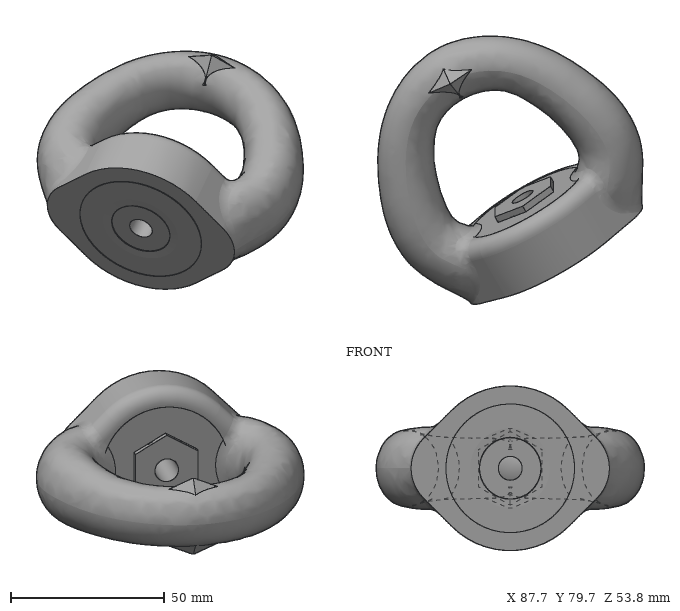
import cadquery as cq
import math


base_radius = 26.9
base_depth = 20.2
lobe_reach = 32.4
rear_fillet = 5.2

foot_fillet = 4.6
seam_margin = 0.9

crown_section = ((0, 79.4), (0, 60.9), 9.8)
side_sections = [
    ((23.5, 70.4), (12.7, 56.6), 10.1),
    ((34.0, 58.4), (17.55, 50), 10.6),
    ((40.1, 46.1), (20.9, 42.6), 11.5),
    ((43.7, 32.0), (23.35, 31.6), 12.5),
    ((42.8, 20.1), (22.2, 24.1), 12.8),
    ((39.5, 12.3), (17.9, 19.75), 13.4),
    ((32.2, 0), (10.5, 7.9), 10.3),
    ((29, -5.7), (7.9, 2.6), 6.6),
]

spike_tip_y = 70.2
spike_tip_z = 13.0
spike_foot_z = 6.1
spike_outer_reach = 6.85
spike_inner_reach = 7.55
spike_side_reach = 16.7
spike_tip_ratio = 0.03

bushing_diameter = 42.0
bushing_proud = 0.3
bore_diameter = 20.2
countersink_diameter = 26.0
countersink_depth = 0.2

shank_diameter = 20.0
shank_setback = 0.3
hex_sides = 6
hex_across_flats = 20.9
hex_height = 2.2
centre_hole_diameter = 7.8


def rod(diameter, y_start, y_end):
    """Round rod about the Y axis."""
    front = cq.Workplane("XZ", origin=(0, y_start, 0))
    return front.circle(diameter / 2).extrude(y_start - y_end)


def cone(start_diameter, end_diameter, y_start, y_end):
    """Cone about the Y axis, from its start diameter to its end diameter."""
    start = cq.Vector(0, y_start, 0)
    along_y = cq.Vector(0, 1, 0)
    solid = cq.Solid.makeCone(start_diameter / 2, end_diameter / 2, y_end - y_start, start, along_y)
    return cq.Workplane(solid)


def make_base():
    """Round base with two lobes, joined by 45 degree tangent flanks."""
    diagonal = math.sqrt(0.5)
    lobe_radius = (base_radius / diagonal - lobe_reach) / (1 / diagonal - 1)
    lobe_centre = lobe_reach - lobe_radius
    flank = base_radius * diagonal
    lobe_x = lobe_centre + lobe_radius * diagonal
    lobe_z = lobe_radius * diagonal
    outline = (
        cq.Workplane("XZ")
        .moveTo(-flank, flank)
        .threePointArc((0, base_radius), (flank, flank))
        .lineTo(lobe_x, lobe_z)
        .threePointArc((lobe_reach, 0), (lobe_x, -lobe_z))
        .lineTo(flank, -flank)
        .threePointArc((0, -base_radius), (-flank, -flank))
        .lineTo(-lobe_x, -lobe_z)
        .threePointArc((-lobe_reach, 0), (-lobe_x, lobe_z))
        .close()
    )
    return outline.extrude(-base_depth).faces(">Y").edges().fillet(rear_fillet)


def section_wire(outer, inner, half_thickness, side):
    """Elliptical ring section between an outer and an inner point; side is +1 or -1 along X."""
    outer_point = cq.Vector(side * outer[0], outer[1], 0)
    inner_point = cq.Vector(side * inner[0], inner[1], 0)
    across = outer_point - inner_point
    middle = (outer_point + inner_point) * 0.5
    normal = cq.Vector(0, 0, 1).cross(across)
    return cq.Wire.makeEllipse(across.Length / 2, half_thickness, middle, normal, across)


def make_ring():
    """Smooth ring from the right foot over the crown to the left foot."""
    right = [section_wire(*section, 1) for section in reversed(side_sections)]
    left = [section_wire(*section, -1) for section in side_sections]
    return cq.Workplane(cq.Solid.makeLoft(right + [section_wire(*crown_section, 1)] + left))


def make_spike(side):
    """Four-sided spike on the crown; side is +1 or -1 along Z."""
    foot = [
        (spike_side_reach, 0),
        (0, spike_outer_reach),
        (-spike_side_reach, 0),
        (0, -spike_inner_reach),
    ]
    tip = [(x * spike_tip_ratio, y * spike_tip_ratio) for x, y in foot]
    return (
        cq.Workplane("XY", origin=(0, spike_tip_y, side * spike_foot_z))
        .polyline(foot)
        .close()
        .workplane(offset=side * (spike_tip_z - spike_foot_z))
        .polyline(tip)
        .close()
        .loft(ruled=True)
    )


def is_foot_seam(edge):
    """True for a curve where a foot meets a flat flank of the base, below the rear fillet."""
    box = edge.BoundingBox()
    flank_height = base_depth - rear_fillet
    return box.ymax < flank_height + seam_margin and seam_margin < box.ymin < flank_height - seam_margin


def make_eye():
    """Eye in one piece: base, ring and spikes, with a through hole for the bushing."""
    feet_trim = cq.Workplane("XZ").rect(4 * base_radius, 2 * base_radius).extrude(base_depth)
    eye = make_base().union(make_ring().cut(feet_trim))
    eye = eye.edges("%BSPLINE").filter(is_foot_seam).fillet(foot_fillet)
    for side in (1, -1):
        eye = eye.union(make_spike(side))
    return eye.cut(rod(bushing_diameter, 0, base_depth))


def make_bushing():
    """Sleeve that stands slightly proud of the base, with a countersunk bore."""
    front = -bushing_proud
    sleeve = rod(bushing_diameter, front, base_depth).cut(rod(bore_diameter, front, base_depth))
    return sleeve.cut(cone(countersink_diameter, bore_diameter, front, front + countersink_depth))


def make_screw():
    """Screw with a hexagon head behind the base and a through hole along its axis."""
    front = countersink_depth - bushing_proud + shank_setback
    shank = rod(shank_diameter, front, base_depth)
    half_side_angle = 180 / hex_sides
    hex_across_corners = hex_across_flats / math.cos(math.radians(half_side_angle))
    head = (
        cq.Workplane("XZ", origin=(0, base_depth, 0))
        .transformed(rotate=(0, 0, half_side_angle))
        .polygon(hex_sides, hex_across_corners)
        .extrude(-hex_height)
    )
    return shank.union(head).cut(rod(centre_hole_diameter, front, base_depth + hex_height))


eye = make_eye()
bushing = make_bushing()
screw = make_screw()

result = cq.Compound.makeCompound([body.solids().val() for body in (eye, bushing, screw)])